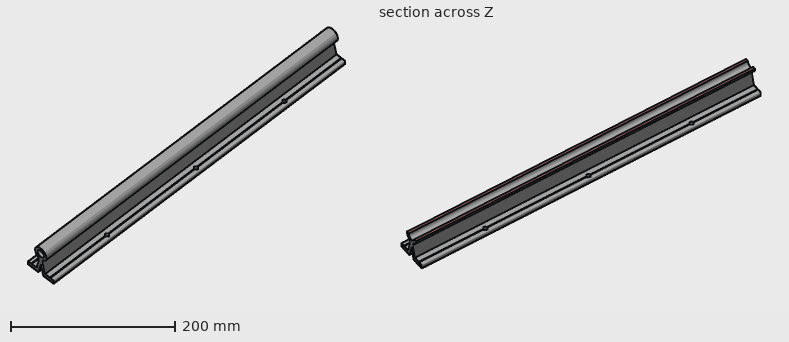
import cadquery as cq

length = 500.0
width = 44.5
height = 47.5

tube_diameter = 20.0
bore_diameter = 11.0
tube_radius = tube_diameter / 2
tube_center_z = height - tube_radius

neck_half_width = 3.75
neck_bottom_z = 21.0
leg_slope = 0.25
gap_apex_z = 17.0

foot_thickness = 6.0
foot_edge_radius = 1.5

groove_half_width = 0.5
groove_depth = 0.25

hole_diameter = 5.5
hole_x = 16.0
hole_pitch = 152.0
hole_rows = 3

half_width = width / 2
leg_outer_x = neck_half_width + leg_slope * (neck_bottom_z - foot_thickness)
gap_half_width = leg_slope * gap_apex_z


def extrude_along_rail(sketch):
    """Extrude an XZ sketch over the full length, centred on Y = 0."""
    return sketch.extrude(length / 2, both=True)


def make_half_support():
    """Neck, leg and foot on the +X side."""
    outline = (
        cq.Workplane("XZ")
        .moveTo(0, tube_center_z)
        .lineTo(neck_half_width, tube_center_z)
        .lineTo(neck_half_width, neck_bottom_z)
        .lineTo(leg_outer_x, foot_thickness)
        .lineTo(hole_x - groove_half_width, foot_thickness)
        .lineTo(hole_x, foot_thickness - groove_depth)
        .lineTo(hole_x + groove_half_width, foot_thickness)
        .lineTo(half_width - foot_edge_radius, foot_thickness)
        .radiusArc((half_width, foot_thickness - foot_edge_radius), foot_edge_radius)
        .lineTo(half_width, 0)
        .lineTo(gap_half_width, 0)
        .lineTo(0, gap_apex_z)
        .close()
    )
    return extrude_along_rail(outline)


def make_cylinder(diameter):
    """Full-length cylinder on the tube axis."""
    circle = cq.Workplane("XZ").center(0, tube_center_z).circle(diameter / 2)
    return extrude_along_rail(circle)


def make_mounting_holes():
    """Cutters for the holes through both feet."""
    return (
        cq.Workplane("XY")
        .rarray(2 * hole_x, hole_pitch, 2, hole_rows)
        .circle(hole_diameter / 2)
        .extrude(foot_thickness)
    )


half_support = make_half_support()
support = half_support.union(half_support.mirror("YZ"))
rail = support.union(make_cylinder(tube_diameter)).cut(make_cylinder(bore_diameter))
result = rail.cut(make_mounting_holes())